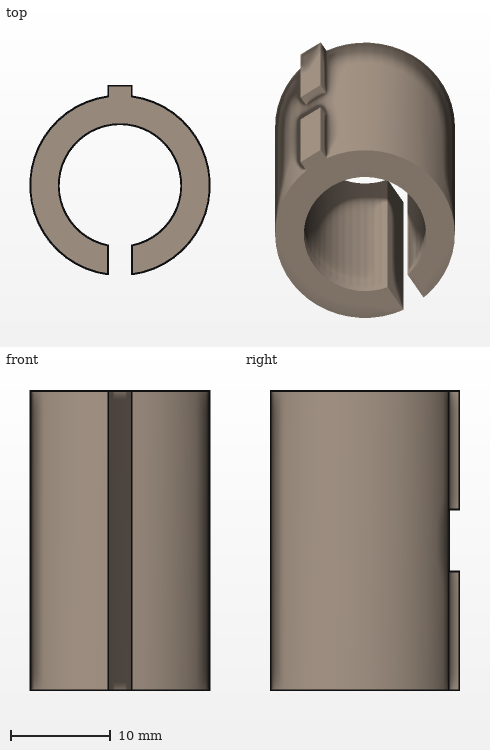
import cadquery as cq

length = 30.0
outer_diameter = 18.0
bore_diameter = 12.25

slot_width = 2.4
key_reach = 10.0
key_gap = 6.18

outer_radius = outer_diameter / 2
key_segment_length = (length - key_gap) / 2


def make_sleeve_blank():
    """Solid cylinder standing on the XY plane."""
    return cq.Workplane("XY").circle(outer_radius).extrude(length)


def make_key_segment(bottom):
    """Radial bar from the axis to the key face, starting at height bottom."""
    return cq.Workplane("XY").box(
        slot_width, key_reach, key_segment_length, centered=(True, False, False)
    ).translate((0, 0, bottom))


def make_bore():
    return cq.Workplane("XY").circle(bore_diameter / 2).extrude(length)


def make_slot():
    """Full-length cut through the -Y wall."""
    return cq.Workplane("XY").box(
        slot_width, outer_diameter, length, centered=(True, False, False)
    ).translate((0, -outer_diameter, 0))


result = make_sleeve_blank()
for bottom in (0, length - key_segment_length):
    result = result.union(make_key_segment(bottom))
result = result.cut(make_bore()).cut(make_slot())